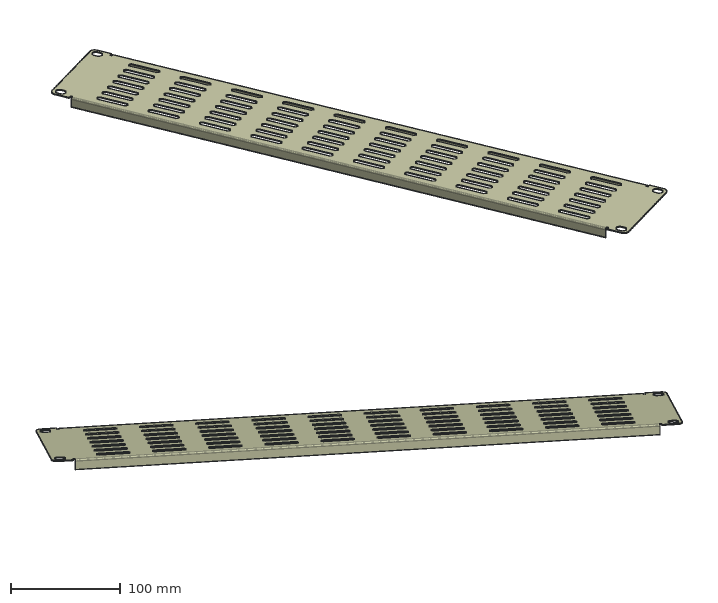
import cadquery as cq

panel_length = 584.0
panel_width = 88.0
panel_height = 10.0
sheet = 1.05

flange_length = 541.5
bend_inner_radius = 0.5
bend_outer_radius = bend_inner_radius + sheet

relief_width = 2.0
relief_depth = 3.0

corner_radius = 4.95
mount_slot_length = 10.0
mount_slot_width = 7.0
mount_spacing_x = 568.0
mount_spacing_y = 76.0

vent_columns = 10
vent_rows = 7
vent_pitch_x = 52.0
vent_pitch_y = 11.0
vent_length = 31.0
vent_width = 4.5


def make_channel():
    """Folded sheet: a flat web with a rounded bend and a flange on each side."""
    outer = (
        cq.Workplane("XY")
        .box(flange_length, panel_width, panel_height, centered=(True, True, False))
        .translate((0, 0, -panel_height))
        .edges("|X and >Z")
        .fillet(bend_outer_radius)
    )
    inner_height = panel_height - sheet
    inner = (
        cq.Workplane("XY")
        .box(flange_length, panel_width - 2 * sheet, inner_height, centered=(True, True, False))
        .translate((0, 0, -panel_height))
        .edges("|X and >Z")
        .fillet(bend_inner_radius)
    )
    return outer.cut(inner)


def make_ears():
    """Flat sheet with rounded corners, narrowed along the folds so it ends clear of the bends."""
    flat = (
        cq.Workplane("XY")
        .rect(panel_length, panel_width)
        .extrude(-sheet)
        .edges("|Z")
        .fillet(corner_radius)
    )
    fold_clearance = (
        cq.Workplane("XY")
        .pushPoints([(0, side * panel_width / 2) for side in (-1, 1)])
        .rect(flange_length + 2 * relief_width, 2 * relief_depth)
        .extrude(-sheet)
    )
    return flat.cut(fold_clearance)


def make_slots(spacing_x, spacing_y, columns, rows, length, width):
    """Centred grid of round-ended slots lying along X, cut through the sheet."""
    return (
        cq.Workplane("XY")
        .rarray(spacing_x, spacing_y, columns, rows)
        .slot2D(length, width)
        .extrude(-sheet)
    )


mount_slots = make_slots(
    mount_spacing_x, mount_spacing_y, 2, 2, mount_slot_length, mount_slot_width
)
vents = make_slots(
    vent_pitch_x, vent_pitch_y, vent_columns, vent_rows, vent_length, vent_width
)

result = make_channel().union(make_ears()).cut(mount_slots).cut(vents)